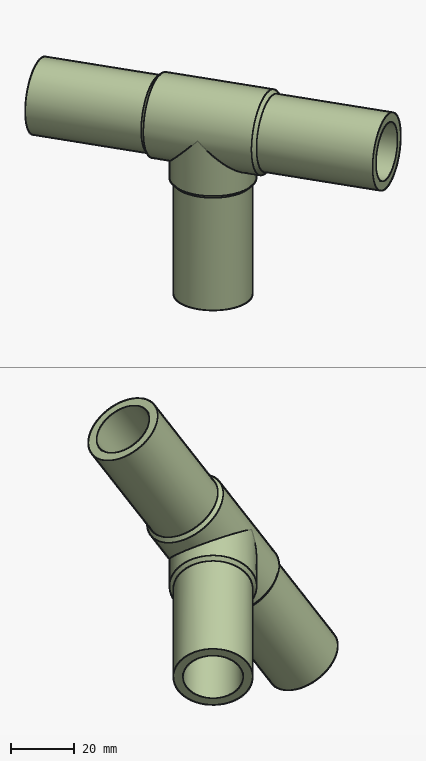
import cadquery as cq

run_length = 117.0
overall_height = 72.8
sleeve_diameter = 27.5
pipe_diameter = 25.0
bore_diameter = 19.0
pipe_stub_length = 39.1

run_reach = run_length / 2
branch_reach = overall_height - sleeve_diameter / 2
sleeve_chamfer = (sleeve_diameter - pipe_diameter) / 2


def arm(direction, diameter, length):
    """Solid cylinder from the origin along the given direction."""
    plane = cq.Plane(origin=(0, 0, 0), xDir=(0, 1, 0), normal=direction)
    return cq.Workplane(plane).circle(diameter / 2).extrude(length)


def sleeve_arm(direction, length):
    """Sleeve cylinder whose outer end is chamfered down to the pipe."""
    far_end = cq.DirectionMinMaxSelector(cq.Vector(*direction), True)
    return arm(direction, sleeve_diameter, length).faces(far_end).chamfer(sleeve_chamfer)


arms = [
    ((1, 0, 0), run_reach),
    ((-1, 0, 0), run_reach),
    ((0, 0, -1), branch_reach),
]

body = cq.Workplane("XY")
bores = cq.Workplane("XY")
for direction, reach in arms:
    body = body.add(sleeve_arm(direction, reach - pipe_stub_length))
    body = body.add(arm(direction, pipe_diameter, reach))
    bores = bores.add(arm(direction, bore_diameter, reach))

result = body.combine().cut(bores.combine())